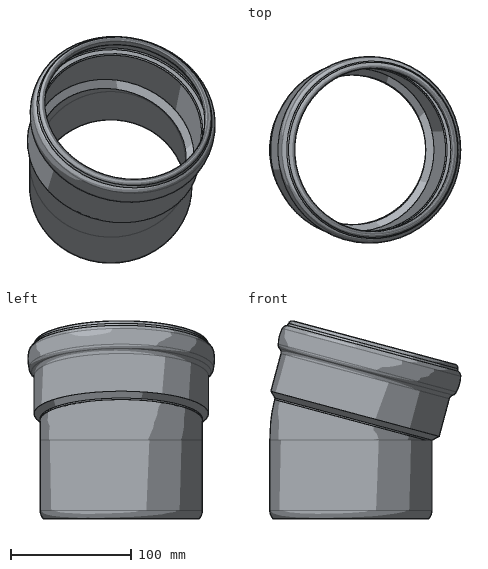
import cadquery as cq
import math

PIPE_RADIUS = 135.4 / 2
PIPE_BORE_RADIUS = 124.6 / 2
PIPE_LENGTH = 65.7
END_ROUND_HEIGHT = 7.0
END_ROUND_INSET = 3.0

BEND_ANGLE = 15
BEND_PIVOT_GAP = 0.3
BEND_RADIUS = PIPE_RADIUS + BEND_PIVOT_GAP

COLLAR_STEP = 0.2
COLLAR_RADIUS = PIPE_RADIUS + COLLAR_STEP
COLLAR_BOTTOM = -1.5
COLLAR_TOP = -0.2
SOCKET_RADIUS = 145.5 / 2
SHOULDER_TOP = 4.5
NECK_TOP = 37.0
BEAD_RADIUS = 155.5 / 2
NECK_FLARE_RADIUS = 74.8
NECK_FLARE_TOP = 40.6
BEAD_BOTTOM_RADIUS = 77.0
BEAD_BOTTOM = 43.9
BEAD_MIDDLE = 52.8
BEAD_SHOULDER_RADIUS = 77.1
BEAD_SHOULDER = 57.5
BEAD_TOP_RADIUS = 74.0
BEAD_TOP = 61.0
SOCKET_TOP = 65.9
LIP_RADIUS = 73.0
LIP_OUTER_ROUND = 3.0
LIP_INNER_ROUND = 1.2

SOCKET_BORE_RADIUS = 135.9 / 2
BORE_SHOULDER_TOP = 5.3
GROOVE_RADIUS = 147.8 / 2
GROOVE_BOTTOM = 43.9
GROOVE_TOP = 58.1
GROOVE_EDGE = 1.0
CUT_OVERRUN = 1.7
MOUTH_RADIUS = 136.0 / 2

FULL_SHARE = 0.6
LEAN_SHARE = 0.35

angle = math.radians(BEND_ANGLE)
socket_origin = cq.Vector(
    BEND_RADIUS * (1 - math.cos(angle)),
    0,
    PIPE_LENGTH + BEND_RADIUS * math.sin(angle),
)


def bend(radius):
    """Solid round bend of the given section radius, starting at the pipe's upper end."""
    return (
        cq.Workplane("XY", origin=(0, 0, PIPE_LENGTH))
        .circle(radius)
        .revolve(BEND_ANGLE, (BEND_RADIUS, 0), (BEND_RADIUS, 1))
    )


def turned_about_socket_axis(profile):
    """Revolve a profile drawn as (radius, height) and set it on the socket axis."""
    turned = profile.close().revolve(360, (0, 0), (0, 1))
    return turned.rotate((0, 0, 0), (0, 1, 0), BEND_ANGLE).translate(socket_origin)


def part_way(start, end, radial_share, axial_share):
    """Point between two (radius, height) points, by its share of each distance."""
    radius = start[0] + radial_share * (end[0] - start[0])
    height = start[1] + axial_share * (end[1] - start[1])
    return radius, height


def pipe_body():
    """Straight pipe with its free end rounded inwards."""
    round_start = (PIPE_RADIUS - END_ROUND_INSET, 0)
    round_end = (PIPE_RADIUS, END_ROUND_HEIGHT)
    return (
        cq.Workplane("XZ")
        .lineTo(*round_start)
        .threePointArc(
            part_way(round_start, round_end, FULL_SHARE, LEAN_SHARE),
            round_end,
        )
        .lineTo(PIPE_RADIUS, PIPE_LENGTH)
        .lineTo(0, PIPE_LENGTH)
        .close()
        .revolve(360, (0, 0), (0, 1))
    )


def socket_body():
    """Socket with a conical shoulder, a flared neck, a round bead and a lip."""
    neck_start = (SOCKET_RADIUS, NECK_TOP)
    neck_end = (NECK_FLARE_RADIUS, NECK_FLARE_TOP)
    bead_start = (BEAD_BOTTOM_RADIUS, BEAD_BOTTOM)
    shoulder_start = (BEAD_SHOULDER_RADIUS, BEAD_SHOULDER)
    shoulder_end = (BEAD_TOP_RADIUS, BEAD_TOP)
    neck_middle = part_way(neck_start, neck_end, LEAN_SHARE, FULL_SHARE)
    bead_bottom_middle = part_way(neck_end, bead_start, FULL_SHARE, LEAN_SHARE)
    shoulder_middle = part_way(shoulder_start, shoulder_end, LEAN_SHARE, FULL_SHARE)
    profile = (
        cq.Workplane("XZ")
        .moveTo(0, COLLAR_BOTTOM)
        .lineTo(COLLAR_RADIUS, COLLAR_BOTTOM)
        .lineTo(COLLAR_RADIUS, COLLAR_TOP)
        .lineTo(SOCKET_RADIUS, SHOULDER_TOP)
        .lineTo(*neck_start)
        .threePointArc(neck_middle, neck_end)
        .threePointArc(bead_bottom_middle, bead_start)
        .threePointArc((BEAD_RADIUS, BEAD_MIDDLE), shoulder_start)
        .threePointArc(shoulder_middle, shoulder_end)
        .lineTo(LIP_RADIUS, SOCKET_TOP - LIP_OUTER_ROUND)
        .radiusArc((LIP_RADIUS - LIP_OUTER_ROUND, SOCKET_TOP), -LIP_OUTER_ROUND)
        .lineTo(0, SOCKET_TOP)
    )
    return turned_about_socket_axis(profile)


def socket_cavity():
    """Socket bore with a conical seat, a seal groove inside the bead and the mouth."""
    profile = (
        cq.Workplane("XZ")
        .lineTo(PIPE_BORE_RADIUS, 0)
        .lineTo(SOCKET_BORE_RADIUS, BORE_SHOULDER_TOP)
        .lineTo(SOCKET_BORE_RADIUS, GROOVE_BOTTOM - GROOVE_EDGE)
        .lineTo(SOCKET_BORE_RADIUS + GROOVE_EDGE, GROOVE_BOTTOM)
        .lineTo(GROOVE_RADIUS - GROOVE_EDGE, GROOVE_BOTTOM)
        .lineTo(GROOVE_RADIUS, GROOVE_BOTTOM + GROOVE_EDGE)
        .lineTo(GROOVE_RADIUS, GROOVE_TOP)
        .lineTo(MOUTH_RADIUS + GROOVE_EDGE, GROOVE_TOP)
        .lineTo(MOUTH_RADIUS, GROOVE_TOP + GROOVE_EDGE)
        .lineTo(MOUTH_RADIUS, SOCKET_TOP - LIP_INNER_ROUND)
        .radiusArc((MOUTH_RADIUS + LIP_INNER_ROUND, SOCKET_TOP), LIP_INNER_ROUND)
        .lineTo(MOUTH_RADIUS + LIP_INNER_ROUND, SOCKET_TOP + CUT_OVERRUN)
        .lineTo(0, SOCKET_TOP + CUT_OVERRUN)
    )
    return turned_about_socket_axis(profile)


pipe_bore = (
    cq.Workplane("XY", origin=(0, 0, -CUT_OVERRUN))
    .circle(PIPE_BORE_RADIUS)
    .extrude(PIPE_LENGTH + CUT_OVERRUN)
)
passage = pipe_bore.union(bend(PIPE_BORE_RADIUS)).union(socket_cavity())
result = pipe_body().union(bend(PIPE_RADIUS)).union(socket_body()).cut(passage)